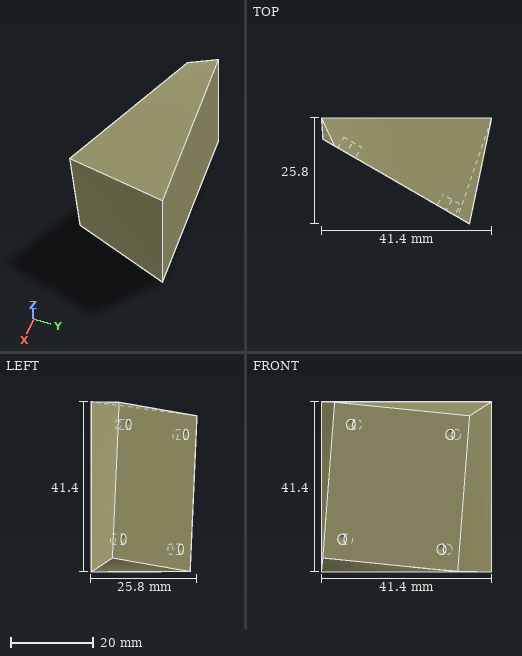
import cadquery as cq

base_side = 41.4

face_side = 38.0
swing_angle = 30.0
roll_angle = 5.0
face_center = (-2.53, -15.5, 0.0)

hole_diameter = 2.5
hole_pitch = 28.0
hole_depth = 3.0


def make_body(base_plane, face_plane):
    """Straight-ruled transition from the base square to the mounting face."""
    base_wire = cq.Workplane(base_plane).rect(base_side, base_side).wires().val()
    face_wire = cq.Workplane(face_plane).rect(face_side, face_side).wires().val()
    return cq.Workplane(cq.Solid.makeLoft([base_wire, face_wire], True))


def make_holes(face_plane):
    """Four cylinders running inward from the mounting face."""
    return (
        cq.Workplane(face_plane)
        .rect(hole_pitch, hole_pitch, forConstruction=True)
        .vertices()
        .circle(hole_diameter / 2)
        .extrude(-hole_depth)
    )


base_plane = cq.Plane.named("XZ")
face_plane = cq.Plane.named("XZ", face_center).rotated((0, -swing_angle, 0)).rotated((0, 0, -roll_angle))

result = make_body(base_plane, face_plane).cut(make_holes(face_plane))